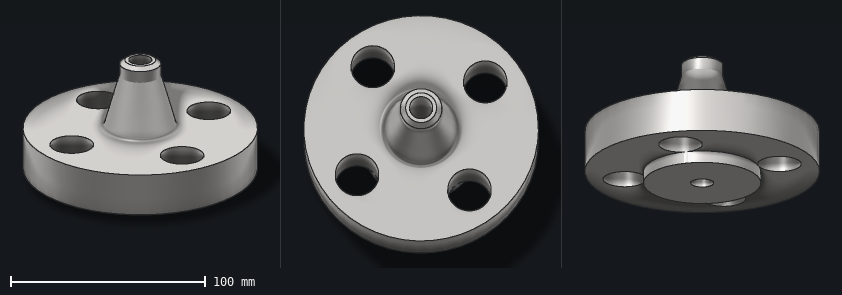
import cadquery as cq

flange_diameter = 120.6
flange_thickness = 22.4

face_diameter = 60.3
face_height = 6.3

neck_root_diameter = 38.2
neck_tip_diameter = 21.3
neck_height = 38.1
tip_length = 8.3
fillet_radius = 3.0

bevel_height = 1.9
bevel_diameter = 15.9

bore_diameter = 11.8
bolt_hole_diameter = 22.3
bolt_circle_diameter = 82.5
bolt_count = 4

neck_top = flange_thickness + neck_height
taper_top = neck_top - tip_length


def flange_body():
    """Solid of revolution: raised face, disc, tapered neck and bevelled tip."""
    profile = (
        cq.Workplane("XZ")
        .moveTo(0, -face_height)
        .lineTo(face_diameter / 2, -face_height)
        .lineTo(face_diameter / 2, 0)
        .lineTo(flange_diameter / 2, 0)
        .lineTo(flange_diameter / 2, flange_thickness)
        .lineTo(neck_root_diameter / 2, flange_thickness)
        .lineTo(neck_tip_diameter / 2, taper_top)
        .lineTo(neck_tip_diameter / 2, neck_top - bevel_height)
        .lineTo(bevel_diameter / 2, neck_top)
        .lineTo(0, neck_top)
        .close()
    )
    return profile.revolve(360, (0, 0, 0), (0, 1, 0))


def round_neck_root(body):
    """Fillet the corner where the neck meets the disc."""
    margin = 1.2
    reach = neck_root_diameter / 2 + margin
    root_edge = cq.selectors.BoxSelector(
        (-reach, -reach, flange_thickness - margin),
        (reach, reach, flange_thickness + margin),
        boundingbox=True,
    )
    return body.edges(root_edge).fillet(fillet_radius)


def through_holes():
    """Cutters for the central bore and the ring of bolt holes."""
    start = cq.Workplane("XY").workplane(offset=-face_height)
    length = face_height + neck_top
    bore = start.circle(bore_diameter / 2).extrude(length)
    bolts = (
        start.polarArray(bolt_circle_diameter / 2, 0, 360, bolt_count)
        .circle(bolt_hole_diameter / 2)
        .extrude(length)
    )
    return bore.union(bolts)


result = round_neck_root(flange_body()).cut(through_holes())